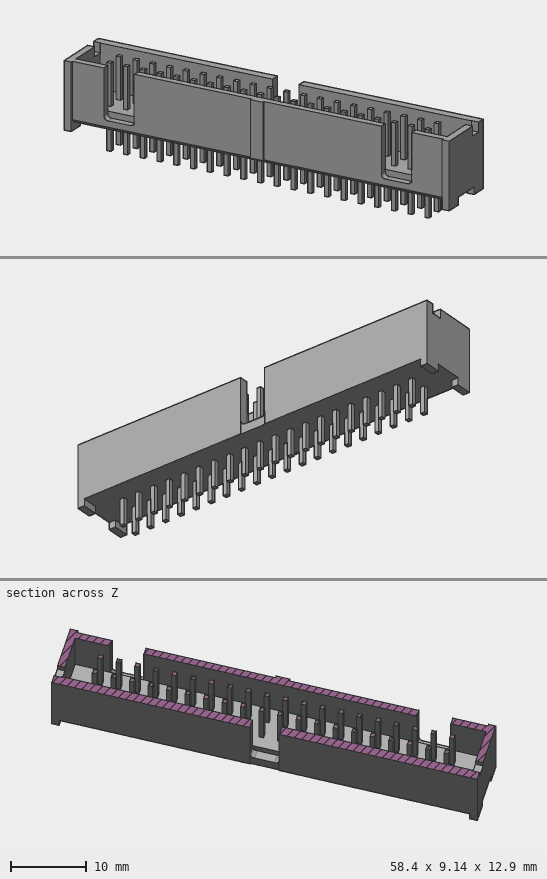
import cadquery as cq

length = 58.42
width = 9.14
height = 9.9
leg_height = 1.1
end_wall = 1.06
back_wall = 1.35
front_wall = 1.04
front_recess = 0.3
cavity_depth = 6.5

bevel_height = 0.5
bevel_depth = 0.5
rib_width = 1.95

window_width = 4.6
window_depth = 7.4
window_offset = 21.05
corner_radius = 0.6

key_width = 4.0
key_depth = window_depth
key_recess = 0.1

end_slot_nick = 0.1
end_slot_width = 1.6
end_slot_depth = 1.42
leg_gap = 4.24

pin_columns = 20
pin_rows = 2
pitch = 2.54
pin_size = 0.64
pin_tail = 3.0
pin_top_gap = 0.35

back_y = width / 2
front_y = -width / 2
wall_front_y = front_y + front_recess
cavity_front_y = wall_front_y + front_wall
cavity_back_y = back_y - back_wall
cavity_half_length = length / 2 - end_wall


def block(x_range, y_range, z_range):
    """Axis-aligned box spanning the given (low, high) ranges."""
    (x0, x1), (y0, y1), (z0, z1) = x_range, y_range, z_range
    return cq.Workplane("XY").box(x1 - x0, y1 - y0, z1 - z0, centered=False).translate((x0, y0, z0))


def centred(span):
    return (-span / 2, span / 2)


def main_body():
    """Bevelled bar between the end walls, extruded along X from its YZ profile."""
    return (
        cq.Workplane("YZ")
        .moveTo(back_y, leg_height)
        .lineTo(back_y, height)
        .lineTo(wall_front_y, height)
        .lineTo(wall_front_y, leg_height + bevel_height)
        .lineTo(wall_front_y + bevel_depth, leg_height)
        .close()
        .extrude(length / 2, both=True)
    )


def end_plate(side):
    """End wall reaching down to form two legs; side is -1 or +1."""
    x_range = sorted((side * cavity_half_length, side * length / 2))
    plate = block(x_range, (front_y, back_y), (0, height))
    gap = block(x_range, centred(leg_gap), (0, leg_height))
    return plate.cut(gap)


def centre_rib():
    return block(centred(rib_width), (front_y, cavity_front_y), (leg_height + bevel_height, height))


def cavity():
    return block(
        (-cavity_half_length, cavity_half_length),
        (cavity_front_y, cavity_back_y),
        (height - cavity_depth, height),
    )


def end_slots():
    """Slot across each end wall, cut slightly into the end of the back wall."""
    slot_back_y = cavity_back_y + end_slot_nick
    slots = block(
        centred(length),
        (slot_back_y - end_slot_width, slot_back_y),
        (height - end_slot_depth, height),
    )
    between_ends = block(centred(2 * cavity_half_length), (front_y, back_y), (0, height))
    return slots.cut(between_ends)


def wall_opening(x_centre, opening_width, depth, y_range):
    """Opening down from the rim, with rounded lower corners."""
    opening = block(centred(opening_width), y_range, (height - depth, height))
    return opening.edges("|Y and <Z").fillet(corner_radius).translate((x_centre, 0, 0))


def key_back_recess():
    return block(centred(key_width), (back_y - key_recess, back_y), (0, height))


def pin(x, y):
    return block(
        (x - pin_size / 2, x + pin_size / 2),
        (y - pin_size / 2, y + pin_size / 2),
        (-pin_tail, height - pin_top_gap),
    )


housing = main_body().union(end_plate(-1)).union(end_plate(1)).union(centre_rib())
housing = housing.cut(cavity()).cut(end_slots())
for window_x in (-window_offset, window_offset):
    window = wall_opening(window_x, window_width, window_depth, (wall_front_y, cavity_front_y))
    housing = housing.cut(window)
housing = housing.cut(wall_opening(0, key_width, key_depth, (cavity_back_y, back_y)))
housing = housing.cut(key_back_recess())

result = housing
for column in range(pin_columns):
    for row in range(pin_rows):
        pin_x = (column - (pin_columns - 1) / 2) * pitch
        pin_y = (row - (pin_rows - 1) / 2) * pitch
        result = result.union(pin(pin_x, pin_y))